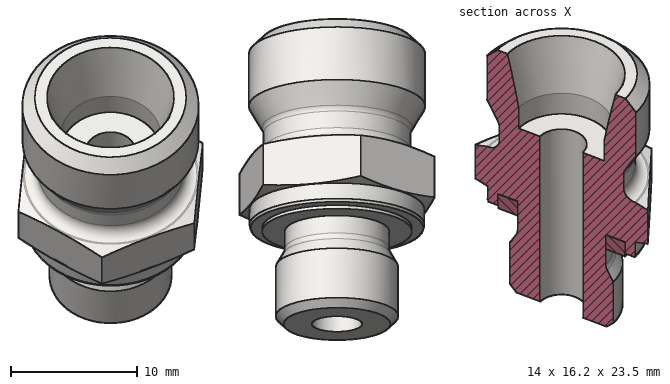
import cadquery as cq
import math

TOTAL_HEIGHT = 23.5
SEAL_BOTTOM = 7.7
FLANGE_BOTTOM = 8.0
HEX_BOTTOM = 9.52
HEX_TOP = 13.51

STUD_RADIUS = 9.73 / 2
STUD_CHAMFER = 0.63
STUD_NECK_RADIUS = 8.3 / 2
STUD_RELIEF_TOP = 6.27
STUD_RELIEF_BLEND = 1.03

FLANGE_RADIUS = 13.9 / 2
FLANGE_CHAMFER_WIDTH = 0.1
FLANGE_CHAMFER_HEIGHT = 0.24
HEX_ACROSS_FLATS = 14.0
HEX_CHAMFER_ANGLE = math.radians(15)

HEAD_RADIUS = 14.0 / 2
HEAD_END_RADIUS = 12.0 / 2
HEAD_CHAMFER = HEAD_RADIUS - HEAD_END_RADIUS
HEAD_NECK_RADIUS = 11.7 / 2
HEAD_RELIEF_BOTTOM = 15.89
HEAD_RELIEF_BLEND = 0.9
HEX_FILLET = 0.99

RELIEF_ANGLE = math.radians(30)

BORE_RADIUS = 4.0 / 2
TUBE_SOCKET_RADIUS = 8.0 / 2
SOCKET_MOUTH_RADIUS = 10.08 / 2
SOCKET_DEPTH = 7.0
SOCKET_CONE_ANGLE = math.radians(12)

SEAL_RADIUS = 11.9 / 2
SEAL_HEIGHT = 1.4


def relief_points(neck_radius, blend_radius, thread_radius):
    """Return (radius, axial distance) of the arc middle, arc end and cone end of a relief."""
    def arc_point(angle):
        return (neck_radius + blend_radius * (1 - math.cos(angle)), blend_radius * math.sin(angle))

    arc_middle = arc_point(RELIEF_ANGLE / 2)
    arc_end = arc_point(RELIEF_ANGLE)
    cone_length = (thread_radius - arc_end[0]) / math.tan(RELIEF_ANGLE)
    cone_end = (thread_radius, arc_end[1] + cone_length)
    return arc_middle, arc_end, cone_end


def make_stud():
    """Lower stud with its end chamfer, thread relief and neck."""
    middle, end, cone = [
        (radius, STUD_RELIEF_TOP - distance)
        for radius, distance in relief_points(STUD_NECK_RADIUS, STUD_RELIEF_BLEND, STUD_RADIUS)
    ]
    return (
        cq.Workplane("XZ")
        .lineTo(STUD_RADIUS - STUD_CHAMFER, 0)
        .lineTo(STUD_RADIUS, STUD_CHAMFER)
        .lineTo(*cone)
        .lineTo(*end)
        .threePointArc(middle, (STUD_NECK_RADIUS, STUD_RELIEF_TOP))
        .lineTo(STUD_NECK_RADIUS, HEX_BOTTOM)
        .lineTo(0, HEX_BOTTOM)
        .close()
        .revolve(360, (0, 0), (0, 1))
    )


def make_flange():
    """Round collar below the hexagon, with a narrow chamfer at its lower rim."""
    return (
        cq.Workplane("XZ")
        .moveTo(0, FLANGE_BOTTOM)
        .lineTo(FLANGE_RADIUS - FLANGE_CHAMFER_WIDTH, FLANGE_BOTTOM)
        .lineTo(FLANGE_RADIUS, FLANGE_BOTTOM + FLANGE_CHAMFER_HEIGHT)
        .lineTo(FLANGE_RADIUS, HEX_BOTTOM)
        .lineTo(0, HEX_BOTTOM)
        .close()
        .revolve(360, (0, 0), (0, 1))
    )


def make_hexagon():
    """Hexagon with flats facing +X and -X and its corners chamfered at both ends."""
    corner_radius = HEX_ACROSS_FLATS / math.sqrt(3)
    chamfer_height = (corner_radius - FLANGE_RADIUS) * math.tan(HEX_CHAMFER_ANGLE)
    prism = (
        cq.Workplane("XY", origin=(0, 0, HEX_BOTTOM))
        .polygon(6, 2 * corner_radius)
        .extrude(HEX_TOP - HEX_BOTTOM)
        .rotate((0, 0, 0), (0, 0, 1), 30)
    )
    chamfer_envelope = (
        cq.Workplane("XZ")
        .moveTo(0, HEX_BOTTOM)
        .lineTo(FLANGE_RADIUS, HEX_BOTTOM)
        .lineTo(corner_radius, HEX_BOTTOM + chamfer_height)
        .lineTo(corner_radius, HEX_TOP - chamfer_height)
        .lineTo(FLANGE_RADIUS, HEX_TOP)
        .lineTo(0, HEX_TOP)
        .close()
        .revolve(360, (0, 0), (0, 1))
    )
    return prism.intersect(chamfer_envelope)


def make_head():
    """Upper threaded end with its top chamfer, relief and fillet onto the hexagon."""
    middle, end, cone = [
        (radius, HEAD_RELIEF_BOTTOM + distance)
        for radius, distance in relief_points(HEAD_NECK_RADIUS, HEAD_RELIEF_BLEND, HEAD_RADIUS)
    ]
    fillet_inset = HEX_FILLET * (1 - math.sqrt(0.5))
    return (
        cq.Workplane("XZ")
        .moveTo(0, HEX_TOP)
        .lineTo(HEAD_NECK_RADIUS + HEX_FILLET, HEX_TOP)
        .threePointArc(
            (HEAD_NECK_RADIUS + fillet_inset, HEX_TOP + fillet_inset),
            (HEAD_NECK_RADIUS, HEX_TOP + HEX_FILLET),
        )
        .lineTo(HEAD_NECK_RADIUS, HEAD_RELIEF_BOTTOM)
        .threePointArc(middle, end)
        .lineTo(*cone)
        .lineTo(HEAD_RADIUS, TOTAL_HEIGHT - HEAD_CHAMFER)
        .lineTo(HEAD_END_RADIUS, TOTAL_HEIGHT)
        .lineTo(0, TOTAL_HEIGHT)
        .close()
        .revolve(360, (0, 0), (0, 1))
    )


def make_bore():
    """Cutter for the through bore, tube socket and conical mouth."""
    cone_depth = (SOCKET_MOUTH_RADIUS - TUBE_SOCKET_RADIUS) / math.tan(SOCKET_CONE_ANGLE)
    socket_floor = TOTAL_HEIGHT - SOCKET_DEPTH
    return (
        cq.Workplane("XZ")
        .lineTo(BORE_RADIUS, 0)
        .lineTo(BORE_RADIUS, socket_floor)
        .lineTo(TUBE_SOCKET_RADIUS, socket_floor)
        .lineTo(TUBE_SOCKET_RADIUS, TOTAL_HEIGHT - cone_depth)
        .lineTo(SOCKET_MOUTH_RADIUS, TOTAL_HEIGHT)
        .lineTo(0, TOTAL_HEIGHT)
        .close()
        .revolve(360, (0, 0), (0, 1))
    )


def make_seal():
    """Sealing ring around the stud neck, standing slightly proud of the flange."""
    return (
        cq.Workplane("XY", origin=(0, 0, SEAL_BOTTOM))
        .circle(SEAL_RADIUS)
        .circle(STUD_NECK_RADIUS)
        .extrude(SEAL_HEIGHT)
    )


def make_fitting(seal):
    """Fitting body, with a groove in the flange that matches the seal."""
    solid = make_stud().union(make_flange()).union(make_hexagon()).union(make_head())
    return solid.cut(make_bore()).cut(seal)


seal_ring = make_seal()
fitting = make_fitting(seal_ring)

result = cq.Compound.makeCompound([fitting.solids().val(), seal_ring.val()])